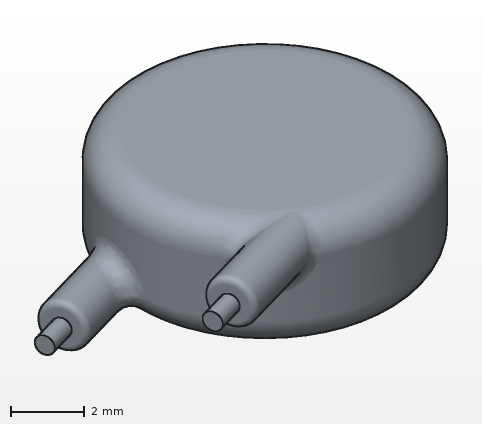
import cadquery as cq

body_diameter = 10.0
body_radius = body_diameter / 2
body_height = 4.0
body_rounding = 1.0

length_y = 13
lead_radius = 0.8
lead_spacing = 5.2
lead_end_rounding = 0.2
wire_radius = 0.31
wire_exposed = 1.0
root_fillet = 0.52
face_inset = 0.006
selection_margin = 0.01

wire_end_y = body_radius - length_y
lead_end_y = wire_end_y + wire_exposed
lead_offset_z = body_height / 2 - lead_radius - face_inset


def rod_to_centre(radius, x, end_y, z):
    """Round rod along Y, from end_y to the middle plane of the body."""
    return (
        cq.Workplane("XZ", origin=(x, end_y, z))
        .circle(radius)
        .extrude(end_y)
    )


def make_body():
    return (
        cq.Workplane("XY")
        .circle(body_radius)
        .extrude(body_height / 2, both=True)
        .edges()
        .fillet(body_rounding)
    )


def add_lead(part, x, z):
    """Join a lead to the body, blend its root and add the bare wire."""
    sleeve = rod_to_centre(lead_radius, x, lead_end_y, z)
    sleeve = sleeve.faces("<Y").edges().fillet(lead_end_rounding)
    joined = part.union(sleeve)
    reach = lead_radius + selection_margin
    root_zone = cq.selectors.BoxSelector(
        (x - reach, -body_radius, z - reach),
        (x + reach, 0, z + reach),
        boundingbox=True,
    )
    joined = joined.edges(root_zone).fillet(root_fillet)
    return joined.union(rod_to_centre(wire_radius, x, wire_end_y, z))


result = make_body()
for side in (-1, 1):
    result = add_lead(result, side * lead_spacing / 2, side * lead_offset_z)